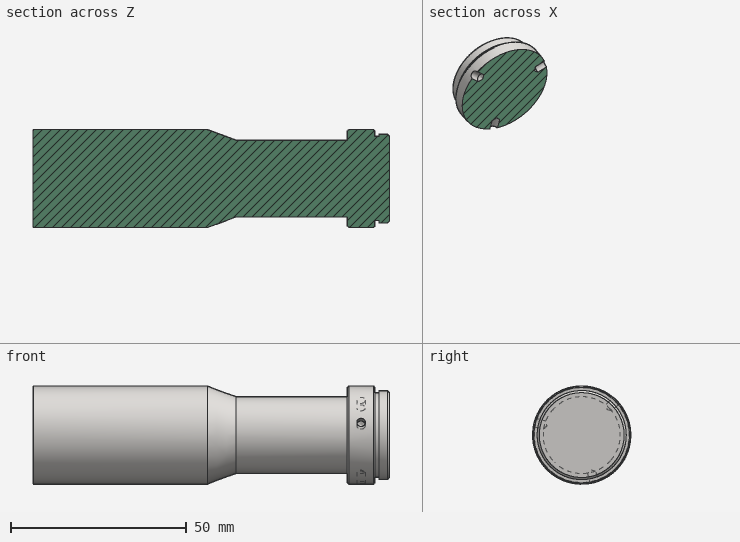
import cadquery as cq
import math

total_length = 101.6
body_end = 49.7
neck_start = 57.9
collar_start = 89.5
collar_end = 97.4
rim_start = 98.6

body_radius = 14.0
neck_radius = 11.0
collar_radius = body_radius
relief_radius = 12.1
rim_radius = 12.7

body_chamfer = 0.2
collar_rear_chamfer = 0.5
collar_front_chamfer = 0.4
rim_front_chamfer = 0.6

hole_count = 3
hole_radius = 1.2
hole_depth = 3.0
hole_tip_angle = 118.0
first_hole_angle = 15.0


def turned_body():
    """Revolve the half profile about the X axis."""
    profile = (
        cq.Workplane("XY")
        .moveTo(0, 0)
        .lineTo(0, body_radius - body_chamfer)
        .lineTo(body_chamfer, body_radius)
        .lineTo(body_end, body_radius)
        .lineTo(neck_start, neck_radius)
        .lineTo(collar_start, neck_radius)
        .lineTo(collar_start, collar_radius - collar_rear_chamfer)
        .lineTo(collar_start + collar_rear_chamfer, collar_radius)
        .lineTo(collar_end - collar_front_chamfer, collar_radius)
        .lineTo(collar_end, collar_radius - collar_front_chamfer)
        .lineTo(collar_end, relief_radius)
        .lineTo(rim_start, relief_radius)
        .lineTo(rim_start, rim_radius)
        .lineTo(total_length - rim_front_chamfer, rim_radius)
        .lineTo(total_length, rim_radius - rim_front_chamfer)
        .lineTo(total_length, 0)
        .close()
    )
    return profile.revolve(360, (0, 0, 0), (1, 0, 0))


def collar_hole(angle):
    """Blind drilled hole with a conical tip, pointing at the X axis."""
    tip_length = hole_radius / math.tan(math.radians(hole_tip_angle / 2))
    floor = collar_radius - hole_depth
    center_x = (collar_start + collar_end) / 2
    drill = (
        cq.Workplane("XY")
        .moveTo(0, -floor + tip_length)
        .lineTo(hole_radius, -floor)
        .lineTo(hole_radius, -collar_radius - hole_radius)
        .lineTo(0, -collar_radius - hole_radius)
        .close()
        .revolve(360, (0, 0, 0), (0, 1, 0))
        .translate((center_x, 0, 0))
    )
    return drill.rotate((0, 0, 0), (1, 0, 0), -angle)


result = turned_body()
for index in range(hole_count):
    result = result.cut(collar_hole(first_hole_angle + index * 360 / hole_count))